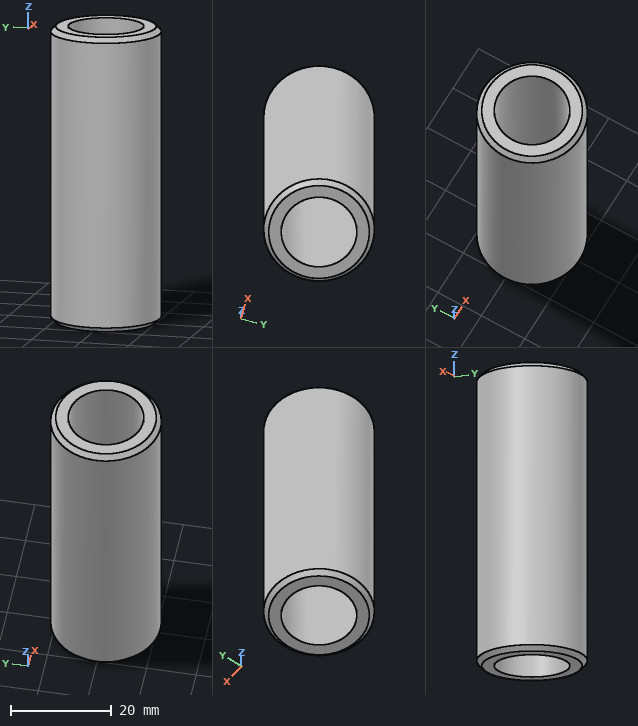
import cadquery as cq

length = 60.0
outer_diameter = 22.0
bore_diameter = 15.0
rim_chamfer = 1.0

body = cq.Workplane("XY").circle(outer_diameter / 2).extrude(length)
body = body.faces("|Z").edges().chamfer(rim_chamfer)

result = body.faces(">Z").workplane().hole(bore_diameter)